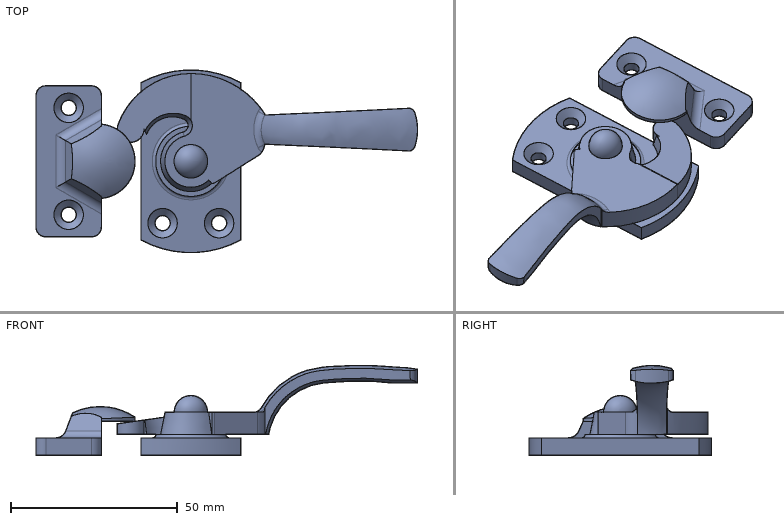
import cadquery as cq
import math


PLATE_T = 5.3
BOSS_H = 1.0
LEVER_T = 6.6
LEVER_BOTTOM = PLATE_T + BOSS_H
LEVER_TOP = LEVER_BOTTOM + LEVER_T
SCREW_D = 4.5
SINK_D = 8.8
SINK_ANGLE = 90

BASE_W = 30.0
BASE_L = 54.8
BASE_CORNER_Y = 23.6
BASE_HOLE_X = 8.5
BASE_HOLE_Y = -18.5
BOSS_R = 10.5

PIN_R = 5.0

KEEPER_LEFT = -46.5
KEEPER_W = 19.7
KEEPER_L = 45.3
KEEPER_CORNER_R = 3.0
KEEPER_EDGE = KEEPER_LEFT + KEEPER_W
KEEPER_HOLE_X = -36.6
KEEPER_HOLE_Y = 16.0
BLOCK_APOTHEM = 11.6
HEX_SIDES = 6
BLOCK_DRAFT = 21
BLOCK_FILLET = 3.1
DOME_R = 18.9
DOME_TOP = 14.7
DOME_X = KEEPER_EDGE - 0.5
LIP_R = 11.2
LIP_X = KEEPER_EDGE - 1.1
LIP_BOTTOM = 10.2

CAM_R = 26.3
HOOK_R = 23.2
NOSE_R = 4.0
NOSE_ANGLE = 160
FLANK_R = 9.3
FLANK_ANGLE = -58
FLANK_START_ANGLE = -42.5
LEVER_END_X = 22.2
LEVER_CORNER_R = 4.8
RAMP_STEP = 0.3
RAMP_ANGLE = 8
HUB_TOP_R = 7.8
SLOT_DRAFT = 11
NECK_R = 3.3
NECK_ANGLE = 105
SLOT_R = 9.6
SLOT_LEAN = -115
SLOT_END_ANGLE = -46.5

HANDLE_Y = 9.5
HANDLE_TIP_X = KEEPER_LEFT + 114.5
ROOT_BEND_R = 21.0
GRIP_BEND_R = 114.5
GRIP_PEAK_X = 51.0
GRIP_PEAK_Z = 24.6
JOIN_TILT = 5.7
ROOT_TILT = 86
GRIP_TIP_TILT = -9.5
SIDE_T = 3.0
CROWN = 0.9
ROOT_HALF_W = 4.4
TIP_HALF_W = 6.5
TIP_CORNER_R = 2.3
TIP_BULGE = 1.4
ROOT_FILLET = 2.5

CLEAR = 68.7
PICK = 0.1


def polar(radius, angle, center=(0, 0)):
    a = math.radians(angle)
    return (center[0] + radius * math.cos(a), center[1] + radius * math.sin(a))


def screw_cutter(points):
    sink_depth = (SINK_D - SCREW_D) / 2 / math.tan(math.radians(SINK_ANGLE / 2))
    profile = [
        (0, 0),
        (SCREW_D / 2, 0),
        (SCREW_D / 2, PLATE_T - sink_depth),
        (SINK_D / 2, PLATE_T),
        (0, PLATE_T),
    ]
    cutter = cq.Workplane("XZ").polyline(profile).close().revolve(360, (0, 0), (0, 1)).val()
    return cq.Workplane("XY").pushPoints(points).eachpoint(cutter, combine="a")


def make_base():
    half_w = BASE_W / 2
    half_l = BASE_L / 2
    plate = (
        cq.Workplane("XY")
        .moveTo(half_w, -BASE_CORNER_Y)
        .lineTo(half_w, BASE_CORNER_Y)
        .threePointArc((0, half_l), (-half_w, BASE_CORNER_Y))
        .lineTo(-half_w, -BASE_CORNER_Y)
        .threePointArc((0, -half_l), (half_w, -BASE_CORNER_Y))
        .close()
        .extrude(PLATE_T)
    )
    blend = BOSS_H * math.sqrt(0.5)
    boss = (
        cq.Workplane("XZ")
        .moveTo(0, PLATE_T)
        .lineTo(BOSS_R + BOSS_H, PLATE_T)
        .threePointArc((BOSS_R + BOSS_H - blend, LEVER_BOTTOM - blend), (BOSS_R, LEVER_BOTTOM))
        .lineTo(0, LEVER_BOTTOM)
        .close()
        .revolve(360, (0, 0), (0, 1))
    )
    holes = screw_cutter([(BASE_HOLE_X, BASE_HOLE_Y), (-BASE_HOLE_X, BASE_HOLE_Y)])
    bore = cq.Workplane("XY").circle(PIN_R).extrude(LEVER_BOTTOM)
    return plate.union(boss).cut(holes).cut(bore)


def make_pin():
    shank = cq.Workplane("XY").circle(PIN_R).extrude(LEVER_TOP)
    dome = cq.Workplane("XY").sphere(PIN_R).translate((0, 0, LEVER_TOP))
    return shank.union(dome)


def make_keeper():
    plate = (
        cq.Workplane("XY")
        .rect(KEEPER_W, KEEPER_L)
        .extrude(PLATE_T)
        .edges("|Z")
        .fillet(KEEPER_CORNER_R)
        .translate((KEEPER_EDGE - KEEPER_W / 2, 0, 0))
    )
    ground = cq.Workplane("XY").rect(2 * CLEAR, 2 * CLEAR).extrude(PLATE_T)
    block = (
        ground.faces(">Z").workplane()
        .polygon(HEX_SIDES, 2 * BLOCK_APOTHEM, circumscribed=True)
        .extrude(DOME_TOP - PLATE_T, taper=BLOCK_DRAFT)
    )
    foot_reach = 2 * BLOCK_APOTHEM
    foot_edges = cq.selectors.BoxSelector(
        (-foot_reach, -foot_reach, PLATE_T - PICK),
        (foot_reach, foot_reach, PLATE_T + PICK),
    )
    block = block.edges(foot_edges).fillet(BLOCK_FILLET).translate((KEEPER_EDGE, 0, 0))
    above_plate = (
        cq.Workplane("XY", origin=(KEEPER_EDGE - CLEAR / 2, 0, PLATE_T))
        .box(CLEAR, CLEAR, CLEAR, centered=(True, True, False))
    )
    block = block.intersect(above_plate)
    in_front = cq.Workplane("XY", origin=(KEEPER_EDGE + CLEAR / 2, 0, 0)).box(CLEAR, CLEAR, CLEAR)
    lip = (
        cq.Workplane("XY", origin=(LIP_X, 0, LIP_BOTTOM))
        .circle(LIP_R).extrude(DOME_TOP - LIP_BOTTOM).intersect(in_front)
    )
    dome = cq.Workplane("XY").sphere(DOME_R).translate((DOME_X, 0, DOME_TOP - DOME_R))
    catch = block.union(lip).intersect(dome)
    holes = screw_cutter([(KEEPER_HOLE_X, KEEPER_HOLE_Y), (KEEPER_HOLE_X, -KEEPER_HOLE_Y)])
    return plate.union(catch).cut(holes)


def make_cam_blank(height):
    hook_c = (0, CAM_R - HOOK_R)
    nose_c = polar(HOOK_R - NOSE_R, NOSE_ANGLE, hook_c)
    hub_end = polar(FLANK_R, SLOT_END_ANGLE)
    flank_reach = FLANK_R / math.cos(math.radians(FLANK_START_ANGLE - FLANK_ANGLE))
    flank_start = polar(flank_reach, FLANK_START_ANGLE)
    flank_dir = FLANK_ANGLE + 90
    corner = (
        LEVER_END_X,
        flank_start[1] + (LEVER_END_X - flank_start[0]) * math.tan(math.radians(flank_dir)),
    )
    setback = LEVER_CORNER_R * math.tan(math.radians((90 - flank_dir) / 2))
    corner_start = polar(setback, flank_dir + 180, corner)
    end_top_angle = math.degrees(math.acos(LEVER_END_X / CAM_R))
    return (
        cq.Workplane("XY", origin=(0, 0, LEVER_BOTTOM))
        .moveTo(*flank_start)
        .lineTo(*corner_start)
        .tangentArcPoint((LEVER_END_X, corner[1] + setback), relative=False)
        .lineTo(*polar(CAM_R, end_top_angle))
        .threePointArc(polar(CAM_R, (end_top_angle + 90) / 2), (0, CAM_R))
        .threePointArc(polar(HOOK_R, (90 + NOSE_ANGLE) / 2, hook_c), polar(HOOK_R, NOSE_ANGLE, hook_c))
        .threePointArc(polar(NOSE_R, -90, nose_c), polar(NOSE_R, 0, nose_c))
        .lineTo(-FLANK_R, 0)
        .threePointArc(polar(FLANK_R, (180 + 360 + SLOT_END_ANGLE) / 2), hub_end)
        .close()
        .extrude(height)
    )


def make_slot_cutter():
    neck_c = polar(HUB_TOP_R + NECK_R, NECK_ANGLE)
    slot_c = polar(SLOT_R - NECK_R, SLOT_LEAN, neck_c)
    slot_join = SLOT_LEAN + 180
    far_y = -2 * HUB_TOP_R
    cutter = (
        cq.Workplane("XY", origin=(0, 0, LEVER_TOP))
        .moveTo(HUB_TOP_R, 0)
        .threePointArc(polar(HUB_TOP_R, (NECK_ANGLE - 360) / 2), polar(HUB_TOP_R, NECK_ANGLE))
        .threePointArc(polar(NECK_R, 0, neck_c), polar(NECK_R, slot_join, neck_c))
        .threePointArc(polar(SLOT_R, (slot_join + 180) / 2, slot_c), polar(SLOT_R, 180, slot_c))
        .lineTo(slot_c[0] - SLOT_R, far_y)
        .lineTo(2 * HUB_TOP_R, far_y)
        .lineTo(2 * HUB_TOP_R, 0)
        .close()
        .extrude(-LEVER_T, taper=SLOT_DRAFT)
    )
    flank_side = (
        cq.Workplane("XY")
        .box(CLEAR, CLEAR, CLEAR, centered=(False, False, True))
        .rotate((0, 0, 0), (0, 0, 1), SLOT_END_ANGLE)
    )
    return cutter.cut(flank_side)


def make_ramp_cutter():
    top = LEVER_TOP - RAMP_STEP
    drop = CLEAR * math.tan(math.radians(RAMP_ANGLE))
    wedge = (
        cq.Workplane("XZ")
        .polyline([(0, top), (-CLEAR, top - drop), (-CLEAR, CLEAR), (0, CLEAR)])
        .close()
        .extrude(-CLEAR)
    )
    hub_guard = cq.Workplane("XY").circle(HUB_TOP_R + NECK_R).extrude(CLEAR)
    return wedge.cut(hub_guard)


def handle_section(center_x, center_z, tilt):
    reach = (center_x - LEVER_END_X) / (HANDLE_TIP_X - LEVER_END_X)
    half_w = ROOT_HALF_W + (TIP_HALF_W - ROOT_HALF_W) * reach
    half_t = SIDE_T / 2
    a = math.radians(tilt)
    plane = cq.Plane(
        origin=(center_x, HANDLE_Y, center_z),
        xDir=(0, 1, 0),
        normal=(math.cos(a), 0, math.sin(a)),
    )
    return (
        cq.Workplane(plane)
        .moveTo(-half_w, -half_t)
        .threePointArc((0, -half_t - CROWN), (half_w, -half_t))
        .lineTo(half_w, half_t)
        .threePointArc((0, half_t + CROWN), (-half_w, half_t))
        .close()
        .wires().val()
    )


def make_handle():
    grip_c = (GRIP_PEAK_X, GRIP_PEAK_Z - GRIP_BEND_R)
    root_c = polar(GRIP_BEND_R - ROOT_BEND_R, 90 + JOIN_TILT, grip_c)
    root_steps = 7
    grip_steps = 4
    sections = []
    for i in range(root_steps):
        tilt = ROOT_TILT + (JOIN_TILT - ROOT_TILT) * i / root_steps
        sections.append(handle_section(*polar(ROOT_BEND_R, 90 + tilt, root_c), tilt))
    for i in range(grip_steps + 1):
        tilt = JOIN_TILT + (GRIP_TIP_TILT - JOIN_TILT) * i / grip_steps
        sections.append(handle_section(*polar(GRIP_BEND_R, 90 + tilt, grip_c), tilt))
    bar = cq.Workplane(cq.Solid.makeLoft(sections))
    shoulder_x = HANDLE_TIP_X - TIP_BULGE
    tip_outline = (
        cq.Workplane("XY", origin=(0, 0, LEVER_BOTTOM))
        .moveTo(0, HANDLE_Y - TIP_HALF_W)
        .lineTo(shoulder_x, HANDLE_Y - TIP_HALF_W)
        .threePointArc((HANDLE_TIP_X, HANDLE_Y), (shoulder_x, HANDLE_Y + TIP_HALF_W))
        .lineTo(0, HANDLE_Y + TIP_HALF_W)
        .close()
        .extrude(CLEAR)
        .edges("|Z").edges(">X").fillet(TIP_CORNER_R)
    )
    return bar.intersect(tip_outline)


def make_root_blend(handle):
    deck = (
        cq.Workplane("XY", origin=(LEVER_END_X, HANDLE_Y, LEVER_BOTTOM))
        .rect(LEVER_END_X, LEVER_END_X).extrude(LEVER_T)
    )
    margin = 2 * ROOT_FILLET
    root_edges = cq.selectors.BoxSelector(
        (LEVER_END_X - LEVER_CORNER_R, HANDLE_Y - ROOT_HALF_W - margin, LEVER_TOP - PICK),
        (LEVER_END_X + LEVER_CORNER_R, HANDLE_Y + ROOT_HALF_W + margin, LEVER_TOP + PICK),
    )
    blended = deck.union(handle).edges(root_edges).fillet(ROOT_FILLET)
    return blended.intersect(make_cam_blank(LEVER_T + margin))


def make_lever():
    handle = make_handle()
    lever = make_cam_blank(LEVER_T).cut(make_slot_cutter()).cut(make_ramp_cutter())
    lever = lever.union(handle).union(make_root_blend(handle))
    bore = cq.Workplane("XY").circle(PIN_R).extrude(LEVER_TOP)
    return lever.cut(bore)


base = make_base()
pin = make_pin()
keeper = make_keeper()
lever = make_lever()

result = cq.Compound.makeCompound([keeper.val(), base.val(), lever.val(), pin.val()])